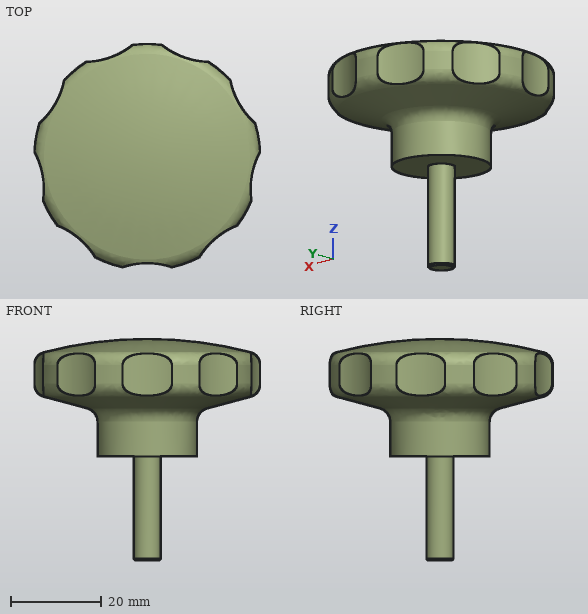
import cadquery as cq
import math

head_radius = 25.0
head_top_z = 26.0
dome_radius = 90.0
edge_fillet = 3.0

cone_angle = math.radians(15.0)
hub_radius = 11.0
hub_height = 10.0
hub_fillet = 3.0

grip_count = 9
grip_radius = 17.0
grip_floor_radius = 23.5
first_grip_angle = -90.0

stud_radius = 3.0
stud_length = 23.0
stud_chamfer = 0.4

match_tolerance = 1e-4


def fillet_ring(body, ring_radius, ring_z, fillet_radius):
    """Round the circular edge of the given radius and height around Z."""
    ring_start = cq.Vertex.makeVertex(ring_radius, 0, ring_z)

    def is_ring(edge):
        return edge.IsClosed() and edge.distance(ring_start) < match_tolerance

    return body.edges().filter(is_ring).fillet(fillet_radius)


def make_head():
    """Domed disc on a hub, with rounded rim edges and a fillet above the hub."""
    dome_drop = dome_radius - math.sqrt(dome_radius**2 - head_radius**2)
    rim_top_z = head_top_z - dome_drop
    rim_bottom_z = hub_height + (head_radius - hub_radius) * math.tan(cone_angle)

    profile = (
        cq.Workplane("XZ")
        .lineTo(hub_radius, 0)
        .lineTo(hub_radius, hub_height)
        .lineTo(head_radius, rim_bottom_z)
        .lineTo(head_radius, rim_top_z)
        .radiusArc((0, head_top_z), -dome_radius)
        .close()
    )
    head = profile.revolve(360, (0, 0, 0), (0, 1, 0))
    head = fillet_ring(head, head_radius, rim_top_z, edge_fillet)
    head = fillet_ring(head, head_radius, rim_bottom_z, edge_fillet)
    return fillet_ring(head, hub_radius, hub_height, hub_fillet)


def make_grips():
    """Upright cylinders that scallop the rim, evenly spaced around Z."""
    return (
        cq.Workplane("XY")
        .polarArray(grip_floor_radius + grip_radius, first_grip_angle, 360, grip_count)
        .circle(grip_radius)
        .extrude(head_top_z)
    )


def make_stud():
    """Plain stud below the hub, chamfered at its free end."""
    stud = cq.Workplane("XY").circle(stud_radius).extrude(-stud_length)
    return stud.faces("<Z").chamfer(stud_chamfer)


result = make_head().cut(make_grips()).union(make_stud())